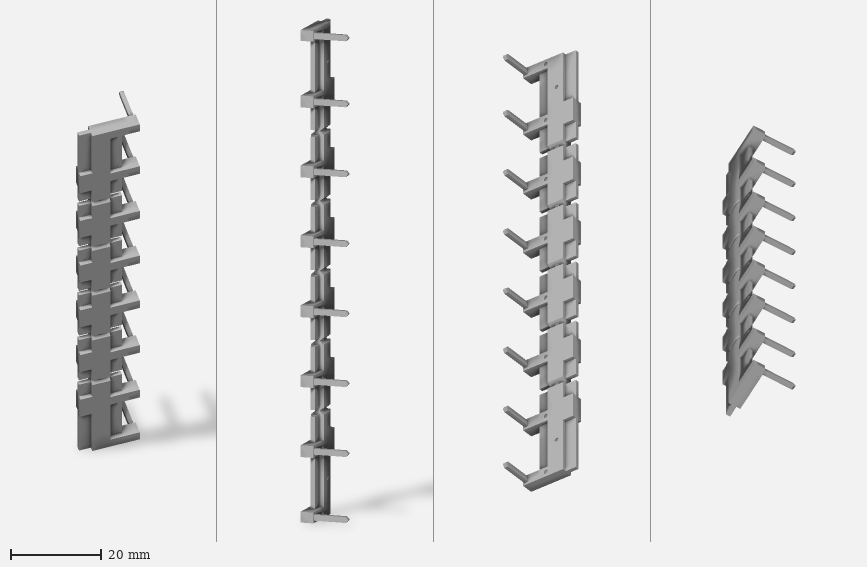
import cadquery as cq

strip_length = 111.5
strip_thickness = 3.0
layer = strip_thickness / 3

tooth_depth = 2.8
spine_top = 7.0
flange_top = 10.0
arm_top = 13.8
spine_middle = (tooth_depth + spine_top) / 2

pitch = 15.8
segment_count = 6
seam_count = segment_count - 1
gap_height = 1.6
tooth_height = 6.0
arm_height = 2.7
end_arm_height = 2.5

pin_length = 8.0
pin_width = 1.0
pin_height = 1.3
pin_y = 12.9
tip_length = 0.6
tip_height = 0.2

dimple_diameter = 1.0
dimple_depth = 0.3
arm_dimple_y = 7.6
end_dimple_y = 4.6
end_dimple_z = 47.2
bridge_width = 1.0
bridge_thickness = 1.8

segment_centers = [(i - (segment_count - 1) / 2) * pitch for i in range(segment_count)]
seam_centers = [(i - (seam_count - 1) / 2) * pitch for i in range(seam_count)]
end_arm_z = (strip_length - end_arm_height) / 2


def block(x_start, x_size, y_start, y_end, z_center, z_size):
    """Box given by its X start and size, its Y range and its Z center and size."""
    return (
        cq.Workplane("XY")
        .box(x_size, y_end - y_start, z_size, centered=(False, False, True))
        .translate((x_start, y_start, z_center))
    )


def full_block(y_start, y_end, z_center, z_size):
    """Box through the whole strip thickness."""
    return block(0, strip_thickness, y_start, y_end, z_center, z_size)


def seam_notch(x_face, x_apex, z_center):
    """V groove across the spine, closing from one face to its apex."""
    half_gap = gap_height / 2
    return (
        cq.Workplane("XZ", origin=(0, tooth_depth, 0))
        .polyline([
            (x_face, z_center - half_gap),
            (x_apex, z_center),
            (x_face, z_center + half_gap),
        ])
        .close()
        .extrude(tooth_depth - spine_top)
    )


def pin(z_center):
    """Rectangular pin pointing to -X with a blunt wedge tip, tapered only in Z."""
    shank_length = pin_length - tip_length
    shank = block(-shank_length, shank_length, pin_y - pin_width / 2, pin_y + pin_width / 2,
                  z_center, pin_height)
    tip = (
        cq.Workplane("YZ", origin=(-shank_length, pin_y, z_center))
        .rect(pin_width, pin_height)
        .workplane(offset=-tip_length)
        .rect(pin_width, tip_height)
        .loft(ruled=True)
    )
    return shank.union(tip)


def dimple(y, z):
    """Shallow round recess in the pin side of the strip."""
    return cq.Workplane("YZ", origin=(0, y, z)).circle(dimple_diameter / 2).extrude(dimple_depth)


body = block(layer, layer, 0, flange_top, 0, strip_length)
for z in seam_centers:
    body = body.cut(full_block(0, flange_top, z, gap_height))

body = body.union(full_block(tooth_depth, spine_top, 0, strip_length))
for z in seam_centers:
    body = body.cut(seam_notch(0, layer, z))
    body = body.cut(seam_notch(strip_thickness, strip_thickness - layer, z))
    body = body.union(
        block((strip_thickness - bridge_thickness) / 2, bridge_thickness,
              spine_middle - bridge_width / 2, spine_middle + bridge_width / 2, z, gap_height)
    )

for z in segment_centers:
    body = body.union(full_block(0, spine_top, z, tooth_height))
    body = body.union(full_block(tooth_depth, arm_top, z, arm_height))
for z in (-end_arm_z, end_arm_z):
    body = body.union(full_block(tooth_depth, arm_top, z, end_arm_height))

for z in [-end_arm_z, *segment_centers, end_arm_z]:
    body = body.union(pin(z))
    body = body.cut(dimple(arm_dimple_y, z))

for z in (-end_dimple_z, end_dimple_z):
    body = body.cut(dimple(end_dimple_y, z))

result = body